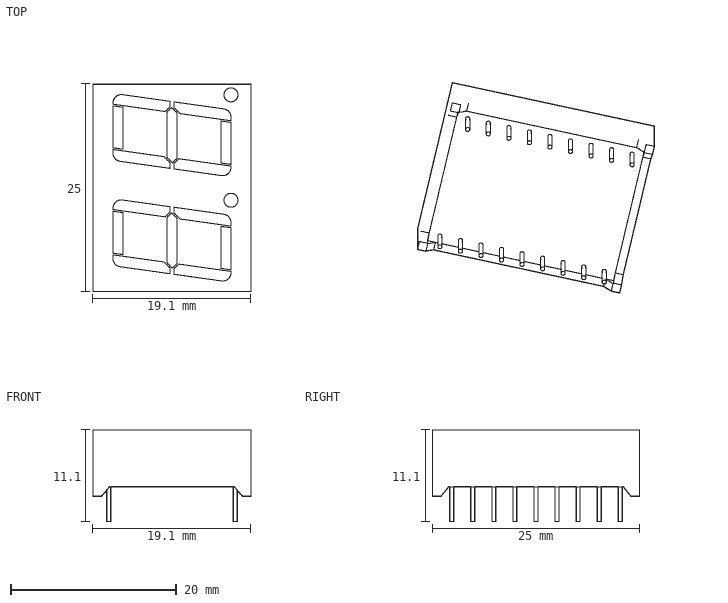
import cadquery as cq
import math


length_x = 19.05
length_y = 25.0
housing_height = 8.0
wall = 1.0
edge_radius = 0.05
roof = 1.0
foot_flat = 1.05
notch_run = 0.95
notch_depth = 1.15

pin_diameter = 0.5
pin_pitch = 2.54
pins_per_row = 9
row_spacing = 15.24
overall_height = 11.05
pin_length = overall_height - housing_height + notch_depth

digit_pitch = 12.7
slant = math.tan(math.radians(8))
digit_half_width = 7.11
bar_outer = 4.04
bar_inner = 2.73
bar_corner_radius = 1.0
post_width = 1.22
post_gap = 0.2
bar_gap = 0.47
tip_height = 3.33
tip_offset = 0.05
tip_gap = 0.28
dot_diameter = 1.68
dot_y = 4.85

notch_top = notch_depth
cavity_top = housing_height - roof


def notch_profile(plane, width):
    """Trapezoid below the housing that leaves a foot at each end of a side."""
    half_bottom = width / 2 - foot_flat
    half_top = half_bottom - notch_run
    return cq.Workplane(plane).polyline([
        (-half_bottom, 0),
        (-half_top, notch_top),
        (half_top, notch_top),
        (half_bottom, 0),
    ]).close()


def slanted(x, height):
    """Point at a height above the slanted centre line of a digit."""
    return (x, height - x * slant)


def window(points):
    """Prism through the roof with the given outline."""
    return cq.Workplane("XY", origin=(0, 0, cavity_top)).polyline(points).close().extrude(roof)


def upper_bar(side):
    """Upper bar on the left (side = -1) or right (side = 1) of a digit."""
    end_x = side * digit_half_width
    inner_x = side * bar_gap / 2
    peak_x = -tip_offset
    peak_y = tip_height + tip_gap
    bevel_top_y = peak_y - side * (inner_x - peak_x)
    bevel_end_x = (peak_y + side * peak_x - bar_inner) / (side - slant)
    outer_corner = slanted(end_x, bar_outer)
    bar = window([
        slanted(inner_x, bar_outer),
        outer_corner,
        slanted(end_x, bar_inner),
        slanted(bevel_end_x, bar_inner),
        (inner_x, bevel_top_y),
    ])
    corner_edge = cq.selectors.NearestToPointSelector((*outer_corner, housing_height - roof / 2))
    return bar.edges("|Z").edges(corner_edge).fillet(bar_corner_radius)


def right_post():
    inner_x = digit_half_width - post_width
    end_height = bar_inner - post_gap
    return window([
        slanted(inner_x, end_height),
        slanted(digit_half_width, end_height),
        slanted(digit_half_width, -end_height),
        slanted(inner_x, -end_height),
    ])


def middle_post():
    half = post_width / 2
    left_top = tip_height - (half - tip_offset)
    right_top = tip_height - (half + tip_offset)
    return window([
        (-tip_offset, tip_height),
        (half, right_top),
        (half, -left_top),
        (tip_offset, -tip_height),
        (-half, -right_top),
        (-half, left_top),
    ])


def half_turn(shape):
    return shape.rotate((0, 0, 0), (0, 0, 1), 180)


def decimal_dot():
    dot = cq.Workplane("XY", origin=(digit_half_width, dot_y, cavity_top))
    return dot.circle(dot_diameter / 2).extrude(roof)


def digit_windows():
    """All the lit areas of one digit."""
    left_bar = upper_bar(-1)
    right_bar = upper_bar(1)
    post = right_post()
    return [
        left_bar, half_turn(left_bar),
        right_bar, half_turn(right_bar),
        post, half_turn(post),
        middle_post(), decimal_dot(),
    ]


def make_core():
    """Filling of the housing, with the lit areas on top and the pins below."""
    core = (
        cq.Workplane("XY", origin=(0, 0, notch_top))
        .rect(length_x - 2 * wall, length_y - 2 * wall)
        .extrude(cavity_top - notch_top)
    )
    for digit_y in (-digit_pitch / 2, digit_pitch / 2):
        for lit_area in digit_windows():
            core = core.union(lit_area.translate((0, digit_y, 0)))
    pins = (
        cq.Workplane("XY", origin=(0, 0, notch_top))
        .rarray(row_spacing, pin_pitch, 2, pins_per_row)
        .circle(pin_diameter / 2)
        .extrude(-pin_length)
    )
    return core.union(pins)


def make_housing(core):
    """Open-bottomed box with notched sides, cut out to take the core."""
    box = cq.Workplane("XY").rect(length_x, length_y).extrude(housing_height)
    front_notch = notch_profile("XZ", length_x).extrude(length_y / 2, both=True)
    side_notch = notch_profile("YZ", length_y).extrude(length_x / 2, both=True)
    block = box.cut(front_notch).cut(side_notch)
    block = block.faces("<X or >X or <Y or >Y").edges("not <Z").fillet(edge_radius)
    cavity = (
        cq.Workplane("XY")
        .rect(length_x - 2 * wall, length_y - 2 * wall)
        .extrude(cavity_top)
    )
    return block.cut(cavity).cut(core)


core = make_core()
housing = make_housing(core)
result = cq.Compound.makeCompound([housing.solids().val(), core.solids().val()])